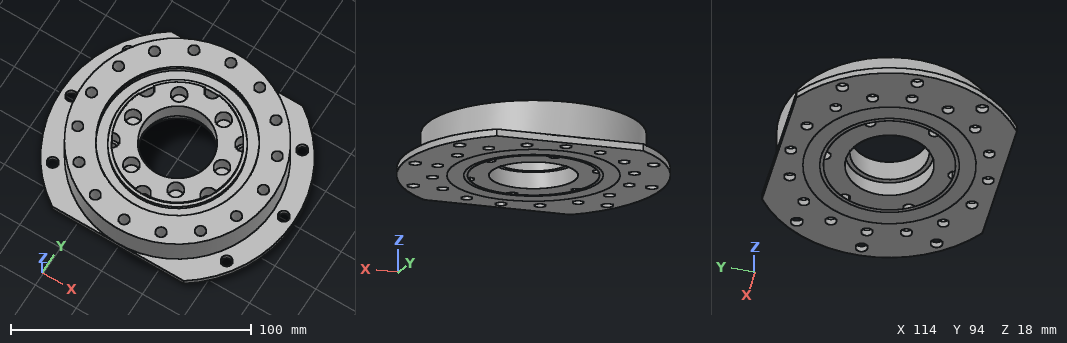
import cadquery as cq
import math

total_height = 18.0
plate_thickness = 3.0
hub_top = total_height - 1.0
sleeve_top = total_height - 2.0
lip_bottom = total_height - 1.7
ring_floor = total_height - 3.9

plate_diameter = 114
housing_diameter = 94.0
lip_bore = 68.0
inner_ring_diameter = 72.0
sleeve_diameter = 58.0
hub_diameter = 55.0
hub_bore = 33.0
hub_lower_bore = 37.0
hub_lower_bore_depth = 7.1

housing_hole_diameter = 4.7
housing_hole_radius = 42.1
housing_hole_count = 16
plate_hole_diameter = 5.0
plate_hole_radius = 52.0
plate_hole_spacing = 35

hub_hole_diameter = 7.0
hub_hole_depth = 8
hub_hole_radius = 21.8
hub_hole_count = 6
edge_hole_diameter = 4.7
edge_hole_radius = hub_diameter / 2


def disc(diameter, bottom, top):
    """Upright cylinder on the central axis."""
    return cq.Workplane("XY").workplane(offset=bottom).circle(diameter / 2).extrude(top - bottom)


def tube(outer, bore, bottom, top):
    return disc(outer, bottom, top).cut(disc(bore, bottom, top))


def drills(diameter, radius, angles, bottom, top):
    """Upright cylinders at the given angles (degrees) on a circle."""
    points = [
        (radius * math.cos(math.radians(angle)), radius * math.sin(math.radians(angle)))
        for angle in angles
    ]
    plane = cq.Workplane("XY").workplane(offset=bottom)
    return plane.pushPoints(points).circle(diameter / 2).extrude(top - bottom)


def even_angles(count, start=0):
    return [start + 360 * i / count for i in range(count)]


def housing_drills():
    angles = even_angles(housing_hole_count)
    return drills(housing_hole_diameter, housing_hole_radius, angles, 0, total_height)


def make_plate():
    """Round mounting plate with two flats level with the housing's outer wall."""
    plate = tube(plate_diameter, inner_ring_diameter, 0, plate_thickness)
    flats = cq.Workplane("XY").rect(plate_diameter, housing_diameter).extrude(plate_thickness)
    angles = [side + step * plate_hole_spacing for side in (0, 180) for step in (-1, 0, 1)]
    mounting_holes = drills(plate_hole_diameter, plate_hole_radius, angles, 0, plate_thickness)
    return plate.intersect(flats).cut(mounting_holes).cut(housing_drills())


def make_housing():
    """Outer ring whose top lip covers the rim of the inner ring."""
    body = tube(housing_diameter, inner_ring_diameter, plate_thickness, total_height)
    lip = tube(housing_diameter, lip_bore, lip_bottom, total_height)
    return body.union(lip).cut(housing_drills())


def make_inner_ring():
    """Ring around the sleeve, with a raised rim that continues the bore of the lip."""
    body = tube(inner_ring_diameter, sleeve_diameter, 0, ring_floor)
    rim = tube(inner_ring_diameter, lip_bore, ring_floor, lip_bottom)
    return body.union(rim)


def make_sleeve():
    return tube(sleeve_diameter, hub_diameter, 0, sleeve_top)


def make_hub():
    """Hub with a stepped bore, blind holes and counterbored holes cut open by its rim."""
    hub = tube(hub_diameter, hub_bore, 0, hub_top)
    hub = hub.cut(disc(hub_lower_bore, 0, hub_lower_bore_depth))
    hole_floor = hub_top - hub_hole_depth
    blind_angles = even_angles(hub_hole_count)
    edge_angles = even_angles(hub_hole_count, start=180 / hub_hole_count)
    hub = hub.cut(drills(hub_hole_diameter, hub_hole_radius, blind_angles, hole_floor, hub_top))
    hub = hub.cut(drills(hub_hole_diameter, edge_hole_radius, edge_angles, hole_floor, hub_top))
    return hub.cut(drills(edge_hole_diameter, edge_hole_radius, edge_angles, 0, hub_top))


plate = make_plate()
housing = make_housing()
inner_ring = make_inner_ring()
sleeve = make_sleeve()
hub = make_hub()

result = cq.Compound.makeCompound(
    [plate.val(), housing.val(), inner_ring.val(), sleeve.val(), hub.val()]
)